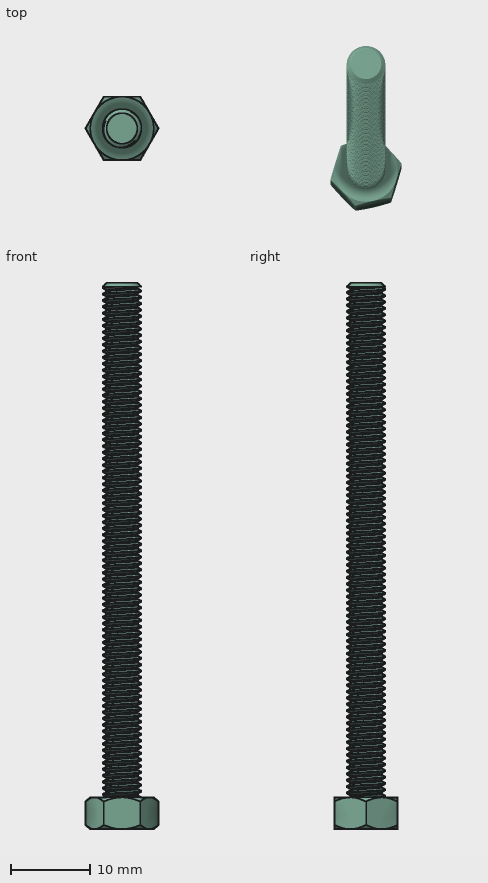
import cadquery as cq
import math

total_length = 69.0
head_height = 4.0
across_flats = 8.0
shank_length = total_length - head_height

across_corners = across_flats / math.cos(math.radians(30))
head_bevel_angle = 40
head_bevel_width = (across_corners - across_flats) / 2
head_bevel_height = head_bevel_width * math.tan(math.radians(head_bevel_angle))

crest_radius = 4.9 / 2
root_radius = 4.0 / 2
turns_on_shank = 81.25
flank_angle = 30
pitch = shank_length / turns_on_shank
thread_depth = crest_radius - root_radius
flank_height = thread_depth * math.tan(math.radians(flank_angle))
root_width = pitch / 4
crest_width = pitch - root_width - 2 * flank_height

spare_turns = 2
thread_turns = math.ceil(turns_on_shank) + 2 * spare_turns
thread_start = head_height - spare_turns * pitch

tip_face_radius = 3.85 / 2
tip_angle = 45
tip_height = (crest_radius - tip_face_radius) * math.tan(math.radians(tip_angle))


def make_head():
    """Hexagon with its corners trimmed by a disc bevelled at both ends."""
    flat_radius = across_flats / 2
    corner_radius = across_corners / 2
    hexagon = cq.Workplane("XY").polygon(6, across_corners).extrude(head_height)
    bevelled_disc = (
        cq.Workplane("XZ")
        .lineTo(flat_radius, 0)
        .lineTo(corner_radius, head_bevel_height)
        .lineTo(corner_radius, head_height - head_bevel_height)
        .lineTo(flat_radius, head_height)
        .lineTo(0, head_height)
        .close()
        .revolve(360, (0, 0, 0), (0, 1, 0))
    )
    return hexagon.intersect(bevelled_disc)


def raised(shape, height):
    return shape.translate(cq.Vector(0, 0, height))


def make_threaded_rod():
    """Untrimmed threaded rod, built from its helical faces and closed at both ends."""
    profile = [
        (crest_radius, 0),
        (root_radius, flank_height),
        (root_radius, flank_height + root_width),
        (crest_radius, pitch - crest_width),
        (crest_radius, pitch),
    ]
    helices = [raised(cq.Wire.makeHelix(pitch, pitch, radius), height) for radius, height in profile]
    one_turn = [cq.Face.makeRuledSurface(*edges) for edges in zip(helices, helices[1:])]

    faces = []
    for turn in range(thread_turns):
        for strip in one_turn:
            faces.append(raised(strip, turn * pitch))

    axis = cq.Wire.makePolygon([cq.Vector(0, 0, 0), cq.Vector(0, 0, pitch)])
    spiral_floor = cq.Face.makeRuledSurface(axis, helices[0])
    step_outline = [(0, 0), *profile, (0, pitch)]
    step_points = [cq.Vector(radius, 0, height) for radius, height in step_outline]
    step = cq.Face.makeFromWires(cq.Wire.makePolygon(step_points, close=True))
    for end_height in (0, thread_turns * pitch):
        faces.append(raised(spiral_floor, end_height))
        faces.append(raised(step, end_height))

    rod = cq.Solid.makeSolid(cq.Shell.makeShell(faces))
    return cq.Workplane(raised(rod, thread_start))


def make_thread():
    """Threaded rod trimmed square where the plain tip begins."""
    envelope = cq.Workplane("XY").circle(crest_radius + thread_depth).extrude(total_length - tip_height)
    return make_threaded_rod().intersect(envelope)


def make_tip():
    """Plain cone on the end of the thread."""
    return (
        cq.Workplane("XZ", origin=(0, 0, total_length - tip_height))
        .lineTo(crest_radius, 0)
        .lineTo(tip_face_radius, tip_height)
        .lineTo(0, tip_height)
        .close()
        .revolve(360, (0, 0, 0), (0, 1, 0))
    )


result = make_head().union(make_thread()).union(make_tip())